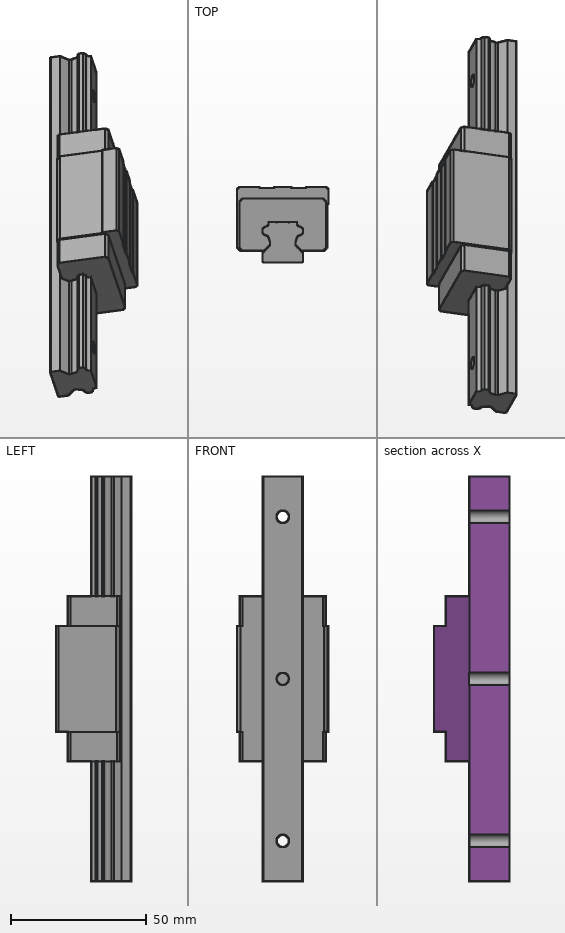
import cadquery as cq

RAIL_LENGTH = 150.0
RAIL_WIDTH = 15.0
RAIL_HEIGHT = 15.0
RAIL_TOP_WIDTH = 10.5
BASE_CHAMFER = 0.5
NECK_WIDTH = 9.3
NECK_BOTTOM_Y = 6.6
NECK_TOP_Y = 7.5
HEAD_LOW_Y = 11.0
HEAD_HIGH_Y = 12.6
LOWER_GROOVE_START = (5.1, 8.7)
LOWER_GROOVE_MIDDLE = (5.5, 9.8)
LOWER_GROOVE_END = (6.6, 10.2)
UPPER_GROOVE_START = (6.5, 13.4)
UPPER_GROOVE_MIDDLE = (5.5, 13.8)
UPPER_GROOVE_END_Y = 14.5

HOLE_DIAMETER = 4.5
HOLE_PITCH = 60.0
HOLE_COUNT = 3

CARRIAGE_WIDTH = 34.0
CARRIAGE_TOP_Y = 28.0
CARRIAGE_BOTTOM_Y = 4.4
BLOCK_LENGTH = 39.3
CARRIAGE_LENGTH = 61.2
BLOCK_TOP_CHAMFER = 0.9
BLOCK_BOTTOM_CHAMFER = 1.4
SIDE_STEP_DEPTH = 0.5
SIDE_STEP_Y = 21.8
CAP_WIDTH = 32.0
CAP_TOP_Y = 23.7
CAP_CHAMFER = 1.0

CHANNEL_OFFSET = 5.8
CHANNEL_WIDTH = 5.4
CHANNEL_DEPTH = 0.3


def extrude_along_z(outline, length):
    """Extrude a closed XY outline symmetrically about Z = 0."""
    return outline.extrude(length / 2, both=True)


def rail_bar():
    """Full rail section without holes, also used to cut the carriage bore."""
    half_width = RAIL_WIDTH / 2
    half_neck = NECK_WIDTH / 2
    half_top = RAIL_TOP_WIDTH / 2
    shoulder_y = NECK_BOTTOM_Y - (half_width - half_neck)
    outline = (
        cq.Workplane("XY")
        .moveTo(0, 0)
        .lineTo(half_width - BASE_CHAMFER, 0)
        .lineTo(half_width, BASE_CHAMFER)
        .lineTo(half_width, shoulder_y)
        .lineTo(half_neck, NECK_BOTTOM_Y)
        .lineTo(half_neck, NECK_TOP_Y)
        .lineTo(*LOWER_GROOVE_START)
        .threePointArc(LOWER_GROOVE_MIDDLE, LOWER_GROOVE_END)
        .lineTo(half_width, HEAD_LOW_Y)
        .lineTo(half_width, HEAD_HIGH_Y)
        .lineTo(*UPPER_GROOVE_START)
        .threePointArc(UPPER_GROOVE_MIDDLE, (half_top, UPPER_GROOVE_END_Y))
        .lineTo(half_top, RAIL_HEIGHT)
        .lineTo(0, RAIL_HEIGHT)
        .mirrorY()
    )
    return extrude_along_z(outline, RAIL_LENGTH)


def mounting_holes():
    """Plain cylinders along Y, evenly spaced about the middle of the rail."""
    first_z = -HOLE_PITCH * (HOLE_COUNT - 1) / 2
    centres = [(0, first_z + index * HOLE_PITCH) for index in range(HOLE_COUNT)]
    return (
        cq.Workplane("XZ")
        .pushPoints(centres)
        .circle(HOLE_DIAMETER / 2)
        .extrude(-RAIL_HEIGHT)
    )


def make_rail():
    return rail_bar().cut(mounting_holes())


def carriage_block():
    """Middle block with chamfered edges and a relief on its +X side."""
    left_x = -CARRIAGE_WIDTH / 2
    right_x = CARRIAGE_WIDTH / 2
    relief_x = right_x - SIDE_STEP_DEPTH
    chamfer_top_y = CARRIAGE_TOP_Y - BLOCK_TOP_CHAMFER
    chamfer_bottom_y = CARRIAGE_BOTTOM_Y + BLOCK_BOTTOM_CHAMFER
    outline = cq.Workplane("XY").polyline([
        (left_x + BLOCK_BOTTOM_CHAMFER, CARRIAGE_BOTTOM_Y),
        (relief_x - BLOCK_BOTTOM_CHAMFER, CARRIAGE_BOTTOM_Y),
        (relief_x, chamfer_bottom_y),
        (relief_x, SIDE_STEP_Y),
        (right_x, SIDE_STEP_Y),
        (right_x, chamfer_top_y),
        (right_x - BLOCK_TOP_CHAMFER, CARRIAGE_TOP_Y),
        (left_x + BLOCK_TOP_CHAMFER, CARRIAGE_TOP_Y),
        (left_x, chamfer_top_y),
        (left_x, chamfer_bottom_y),
    ]).close()
    return extrude_along_z(outline, BLOCK_LENGTH)


def end_caps():
    """Both end caps as one bar that runs through the block."""
    cap_height = CAP_TOP_Y - CARRIAGE_BOTTOM_Y
    bar = cq.Workplane("XY").box(CAP_WIDTH, cap_height, CARRIAGE_LENGTH)
    bar = bar.edges("|Z").chamfer(CAP_CHAMFER)
    return bar.translate((0, CARRIAGE_BOTTOM_Y + cap_height / 2, 0))


def top_channels():
    """Two shallow cutters along the full length of the block's top face."""
    outline = (
        cq.Workplane("XY")
        .pushPoints([(side * CHANNEL_OFFSET, CARRIAGE_TOP_Y) for side in (-1, 1)])
        .rect(CHANNEL_WIDTH, 2 * CHANNEL_DEPTH)
    )
    return extrude_along_z(outline, BLOCK_LENGTH)


def make_carriage():
    return carriage_block().union(end_caps()).cut(top_channels()).cut(rail_bar())


rail = make_rail()
carriage = make_carriage()

result = cq.Compound.makeCompound([rail.val(), *carriage.vals()])